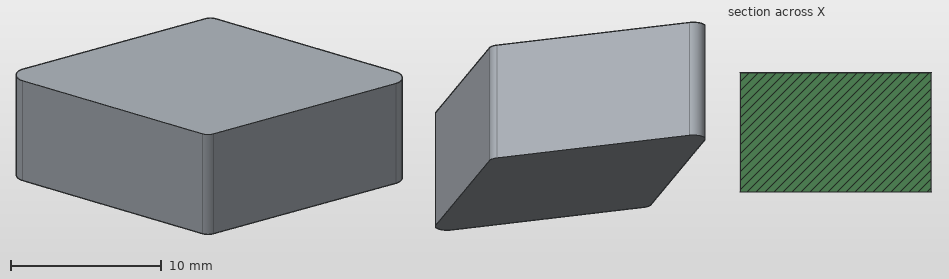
import cadquery as cq
import math

inscribed_diameter = 12.7
acute_angle = math.radians(55)
corner_radius = 0.794
thickness = 7.94

side_length = inscribed_diameter / math.sin(acute_angle)
slant_offset = side_length * math.cos(acute_angle)


def rhombus_corners():
    """Sharp corners, centred on the origin, with two sides parallel to X."""
    half_height = inscribed_diameter / 2
    far_x = (side_length + slant_offset) / 2
    near_x = (side_length - slant_offset) / 2
    return [
        (-far_x, -half_height),
        (near_x, -half_height),
        (far_x, half_height),
        (-near_x, half_height),
    ]


def make_plate():
    """Extrude the rhombus upward and round its four vertical edges."""
    plate = cq.Workplane("XY").polyline(rhombus_corners()).close().extrude(thickness)
    return plate.edges("|Z").fillet(corner_radius)


result = make_plate()